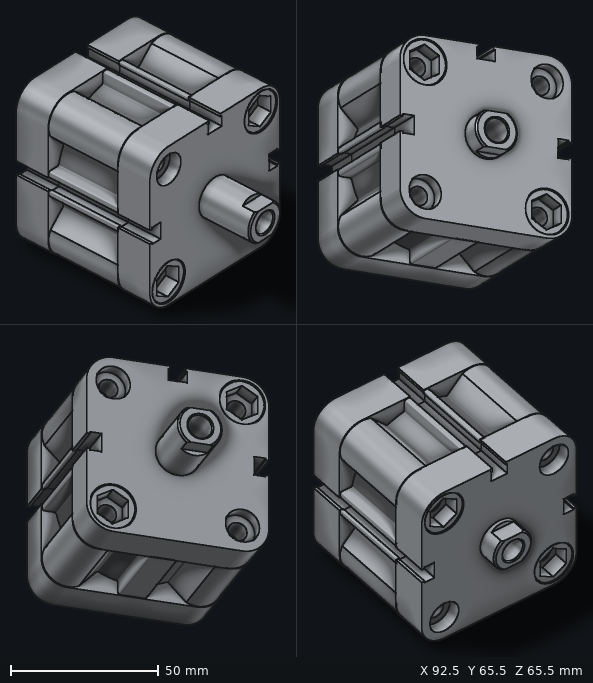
import cadquery as cq
import math


cap_side = 65.5
cap_length = 14.7
barrel_side = 64.9
barrel_length = 31.9
screw_offset = 23.2
through_hole_diameter = 6.75

counterbore_diameter = 12.2
counterbore_depth = 5.0
hex_across_flats = 11.1
head_recess_diameter = 16.5
head_diameter = 16.0
head_recess_depth = 0.5
head_gap_depth = 0.9
hex_depth = 6.0

slot_mouth_width = 5.6
slot_inner_width = 6.8
slot_floor = cap_side / 2 - 5.4
cap_lip_depth = 1.2
barrel_lip_depth = 1.3

tube_radius = 27.9
lobe_half_width = 8.7
lobe_root_fillet = 0.7
rib_width = 10.45
rib_fillet = 0.88
mouth_fillet = 0.3

rod_diameter = 16.0
rod_length = 92.5
rod_projection = 8.05
rod_chamfer = 0.65
flat_half_height = 6.5
flat_length = 6.1
flat_shoulder_slope = 0.4
tap_diameter = 8.6
tap_depth = 18.5
tap_chamfer = 0.5
drill_point_angle = 118.0

cap_half = cap_side / 2
barrel_half = barrel_side / 2
corner_radius = cap_half - screw_offset
rib_half_width = rib_width / 2
lobe_radius = barrel_half - screw_offset
barrel_start = -barrel_length / 2
cap_start = barrel_start - cap_length
rod_start = cap_start - rod_projection
quarter_turns = (0, 90, 180, 270)
slotted_sides = (0, 90, 270)
all_corners = [(y, z) for y in (-screw_offset, screw_offset) for z in (-screw_offset, screw_offset)]
head_corners = [(screw_offset, screw_offset), (-screw_offset, -screw_offset)]
counterbore_corners = [corner for corner in all_corners if corner not in head_corners]


def section(x):
    """Sketch plane across the rod axis at x, with local x = Y and local y = Z."""
    return cq.Workplane("YZ", origin=(x, 0, 0))


def around_axis(shape, angle):
    """Turn a shape about the rod axis."""
    return shape.rotate((0, 0, 0), (1, 0, 0), angle)


def cut_t_slots(body, x, length, outer_face, lip_depth):
    """Cut the T-slot into the top and both flanks of a body."""
    clear_of_body = cap_side
    lip_bottom = outer_face - lip_depth
    mouth = slot_mouth_width / 2
    inner = slot_inner_width / 2
    slot = (
        section(x)
        .moveTo(-mouth, clear_of_body)
        .lineTo(-mouth, lip_bottom)
        .lineTo(-inner, lip_bottom)
        .lineTo(-inner, slot_floor)
        .lineTo(inner, slot_floor)
        .lineTo(inner, lip_bottom)
        .lineTo(mouth, lip_bottom)
        .lineTo(mouth, clear_of_body)
        .close()
        .extrude(length)
    )
    for angle in slotted_sides:
        body = body.cut(around_axis(slot, angle))
    return body


def cut_bores(body, x, length):
    """Cut the rod bore and the four screw holes through a body."""
    rod_bore = section(x).circle(rod_diameter / 2).extrude(length)
    screw_holes = section(x).pushPoints(all_corners).circle(through_hole_diameter / 2).extrude(length)
    return body.cut(rod_bore).cut(screw_holes)


def make_head_cut():
    """Recess, ring gap and hex socket that shape one flush screw head, on the rod axis."""
    recess_radius = head_recess_diameter / 2
    head_face = section(cap_start + head_recess_depth)
    recess = section(cap_start).circle(recess_radius).extrude(head_recess_depth)
    ring_gap = head_face.circle(recess_radius).circle(head_diameter / 2).extrude(head_gap_depth)
    hex_across_corners = hex_across_flats * 2 / math.sqrt(3)
    socket = head_face.polygon(6, hex_across_corners).extrude(hex_depth)
    return recess.union(ring_gap).union(around_axis(socket, 90))


def make_front_cap():
    """End cap on the -X side of the barrel."""
    cap = section(cap_start).rect(cap_side, cap_side).extrude(cap_length)
    cap = cap.edges("|X").fillet(corner_radius)
    cap = cut_t_slots(cap, cap_start, cap_length, cap_half, cap_lip_depth)
    cap = cut_bores(cap, cap_start, cap_length)
    counterbores = (
        section(cap_start)
        .pushPoints(counterbore_corners)
        .circle(counterbore_diameter / 2)
        .extrude(counterbore_depth)
    )
    cap = cap.cut(counterbores)
    for y, z in head_corners:
        cap = cap.cut(make_head_cut().translate((0, y, z)))
    return cap


def edges_at(body, y, z):
    """Lengthwise edges of a body whose |Y| and |Z| are y and z, in either order."""
    same_place = 0.01
    wanted = sorted((y, z))
    found = []
    for edge in body.edges("|X").vals():
        centre = edge.Center()
        spot = sorted((abs(centre.y), abs(centre.z)))
        if math.dist(spot, wanted) < same_place:
            found.append(edge)
    return body.newObject(found)


def make_barrel():
    """Round tube with four corner arms and four ribs, three of them slotted."""
    barrel = section(barrel_start).circle(tube_radius).extrude(barrel_length)

    lobe_centre = screw_offset * math.sqrt(2)
    lobe_edge = lobe_centre + math.sqrt(lobe_radius**2 - lobe_half_width**2)
    arm = (
        section(barrel_start)
        .moveTo(0, -lobe_half_width)
        .lineTo(lobe_edge, -lobe_half_width)
        .threePointArc((lobe_centre + lobe_radius, 0), (lobe_edge, lobe_half_width))
        .lineTo(0, lobe_half_width)
        .close()
        .extrude(barrel_length)
    )
    rib = section(barrel_start).center(0, barrel_half / 2).rect(rib_width, barrel_half)
    rib = rib.extrude(barrel_length)
    for angle in quarter_turns:
        barrel = barrel.union(around_axis(arm, 45 + angle)).union(around_axis(rib, angle))

    root_along = math.sqrt(tube_radius**2 - lobe_half_width**2)
    root_y = (root_along - lobe_half_width) / math.sqrt(2)
    root_z = (root_along + lobe_half_width) / math.sqrt(2)
    rib_foot = math.sqrt(tube_radius**2 - rib_half_width**2)
    barrel = edges_at(barrel, root_y, root_z).fillet(lobe_root_fillet)
    barrel = edges_at(barrel, rib_half_width, rib_foot).fillet(rib_fillet)
    barrel = edges_at(barrel, rib_half_width, barrel_half).fillet(rib_fillet)

    barrel = cut_t_slots(barrel, barrel_start, barrel_length, barrel_half, barrel_lip_depth)
    barrel = edges_at(barrel, slot_mouth_width / 2, barrel_half).fillet(mouth_fillet)
    return cut_bores(barrel, barrel_start, barrel_length)


def make_rod_end_cuts():
    """Wrench flats and tapped hole at the -X end of the rod."""
    rod_radius = rod_diameter / 2
    shoulder = rod_start + flat_length
    flat = (
        cq.Workplane("XZ", origin=(0, rod_radius, 0))
        .moveTo(rod_start, flat_half_height)
        .lineTo(shoulder, flat_half_height)
        .lineTo(shoulder + flat_shoulder_slope, rod_radius)
        .lineTo(rod_start, rod_radius)
        .close()
        .extrude(rod_diameter)
    )
    tap_radius = tap_diameter / 2
    point_length = tap_radius / math.tan(math.radians(drill_point_angle / 2))
    tap = (
        cq.Workplane("XY")
        .moveTo(rod_start, 0)
        .lineTo(rod_start, tap_radius + tap_chamfer)
        .lineTo(rod_start + tap_chamfer, tap_radius)
        .lineTo(rod_start + tap_depth, tap_radius)
        .lineTo(rod_start + tap_depth + point_length, 0)
        .close()
        .revolve(360, (0, 0, 0), (1, 0, 0))
    )
    return flat.union(around_axis(flat, 180)).union(tap)


def make_rod():
    """Piston rod with the same end details at both ends."""
    rod = section(rod_start).circle(rod_diameter / 2).extrude(rod_length)
    rod = rod.faces("<X or >X").chamfer(rod_chamfer)
    end_cuts = make_rod_end_cuts()
    rod_middle = (rod_start + rod_length / 2, 0, 0)
    return rod.cut(end_cuts).cut(end_cuts.mirror("YZ", rod_middle))


front_cap = make_front_cap()
rear_cap = front_cap.mirror("YZ")
barrel = make_barrel()
rod = make_rod()

result = cq.Compound.makeCompound([front_cap.val(), rear_cap.val(), barrel.val(), rod.val()])